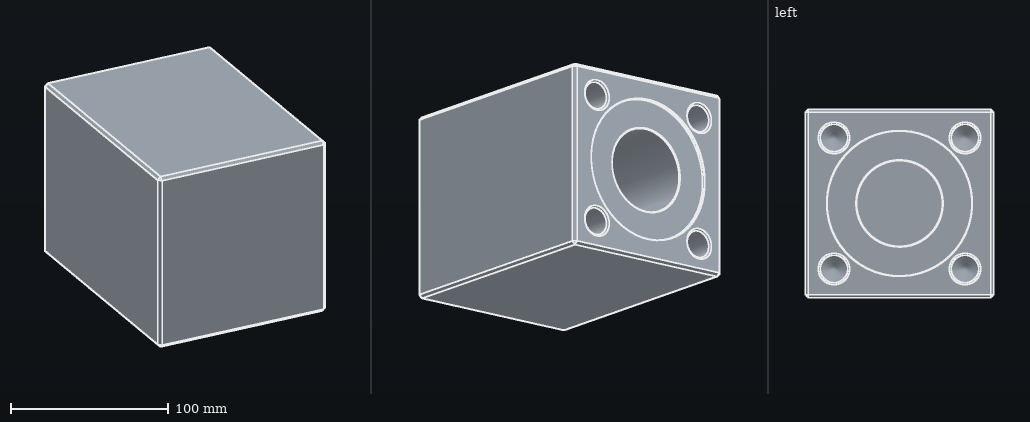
import cadquery as cq
import math

length = 160.0
side = 120.0
edge_chamfer = 2.0

recess_diameter = 92.2
recess_depth = 2.0
recess_chamfer = 0.3
bore_diameter = 54.5
bore_depth = 118.0
bore_chamfer = 0.5

hole_diameter = 17.5
hole_mouth_diameter = 20.0
hole_depth = 40.0
hole_spacing = 83.4
drill_point_angle = 118.0

face_x = -length / 2


def make_block():
    return cq.Workplane("XY").box(length, side, side).edges().chamfer(edge_chamfer)


def make_flat_pocket(diameter, mouth_x, depth, mouth_chamfer):
    """Round pocket on the X axis, running inward from mouth_x, with a chamfered mouth."""
    radius = diameter / 2
    profile = (
        cq.Workplane("XY")
        .moveTo(0, 0)
        .lineTo(0, radius + mouth_chamfer)
        .lineTo(mouth_chamfer, radius)
        .lineTo(depth, radius)
        .lineTo(depth, 0)
        .close()
    )
    return profile.revolve(360, (0, 0, 0), (1, 0, 0)).translate((mouth_x, 0, 0))


def make_drilled_hole(y, z):
    """Drilled hole with a 45 degree countersink and a conical floor."""
    radius = hole_diameter / 2
    mouth_radius = hole_mouth_diameter / 2
    mouth_depth = mouth_radius - radius
    point_length = radius / math.tan(math.radians(drill_point_angle / 2))
    profile = (
        cq.Workplane("XY")
        .moveTo(0, 0)
        .lineTo(0, mouth_radius)
        .lineTo(mouth_depth, radius)
        .lineTo(hole_depth, radius)
        .lineTo(hole_depth + point_length, 0)
        .close()
    )
    hole = profile.revolve(360, (0, 0, 0), (1, 0, 0))
    return hole.translate((face_x, y, z))


result = make_block()
result = result.cut(make_flat_pocket(recess_diameter, face_x, recess_depth, recess_chamfer))
result = result.cut(make_flat_pocket(bore_diameter, face_x + recess_depth, bore_depth, bore_chamfer))
for y_side in (-1, 1):
    for z_side in (-1, 1):
        hole = make_drilled_hole(y_side * hole_spacing / 2, z_side * hole_spacing / 2)
        result = result.cut(hole)